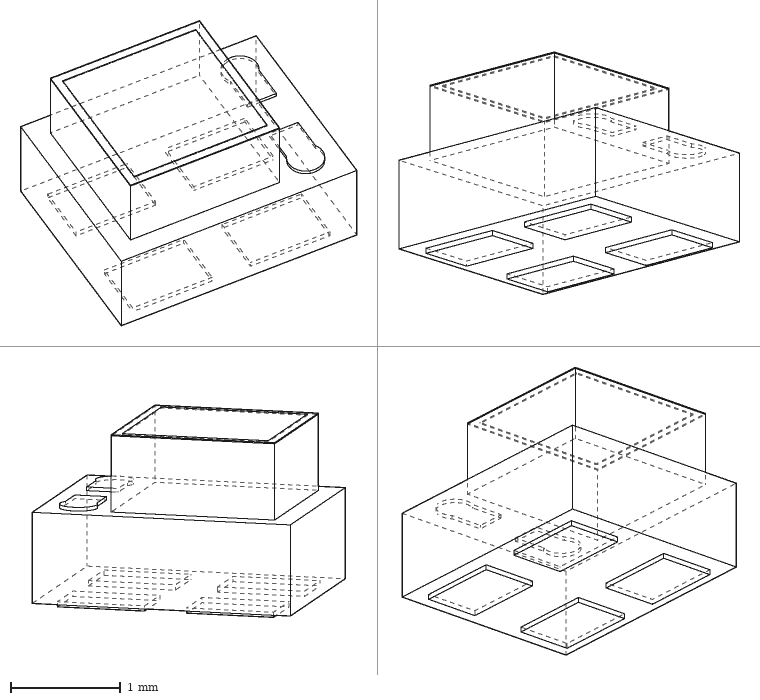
import cadquery as cq

BASE_WIDTH = 1.95
BASE_LENGTH = 2.45
BASE_HEIGHT = 0.85

SOLDER_PAD_WIDTH = 0.55
SOLDER_PAD_LENGTH = 0.825
SOLDER_PAD_THICKNESS = 0.05
SOLDER_PAD_GAP_X = 0.55
SOLDER_PAD_GAP_Y = 0.4

BOND_PAD_DIAMETER = 0.35
BOND_PAD_TAIL_WIDTH = 0.3
BOND_PAD_THICKNESS = 0.035
BOND_PAD_SPACING = 1.272
BOND_PAD_GAP = 0.42
BOND_PAD_CENTER_Y = 0.875

BLOCK_SIDE = 1.55
BLOCK_CENTER_Y = -0.247
BLOCK_TOTAL_HEIGHT = 0.72
CAP_THICKNESS = 0.01
FRAME_MARGIN = 0.083

BLOCK_HEIGHT = BLOCK_TOTAL_HEIGHT - CAP_THICKNESS
WINDOW_SIDE = BLOCK_SIDE - 2 * FRAME_MARGIN
CAP_BOTTOM = BASE_HEIGHT + BLOCK_HEIGHT


def square_plate(side, thickness, bottom):
    """Square plate on the axis of the block, standing on the given level."""
    return (
        cq.Workplane("XY", origin=(0, BLOCK_CENTER_Y, bottom))
        .rect(side, side)
        .extrude(thickness)
    )


def make_base():
    return cq.Workplane("XY").rect(BASE_WIDTH, BASE_LENGTH).extrude(BASE_HEIGHT)


def make_solder_pad(side_x, side_y):
    """Solder pad in the quadrant given by the signs of X and Y."""
    center_x = side_x * (SOLDER_PAD_GAP_X + SOLDER_PAD_WIDTH) / 2
    center_y = side_y * (SOLDER_PAD_GAP_Y + SOLDER_PAD_LENGTH) / 2
    return (
        cq.Workplane("XY")
        .center(center_x, center_y)
        .rect(SOLDER_PAD_WIDTH, SOLDER_PAD_LENGTH)
        .extrude(-SOLDER_PAD_THICKNESS)
    )


def make_bond_pad(side_x):
    """Round pad with a straight tail pointing towards the centre line."""
    round_x = side_x * BOND_PAD_SPACING / 2
    tail_end_x = side_x * BOND_PAD_GAP / 2
    top_plane = cq.Workplane("XY", origin=(0, BOND_PAD_CENTER_Y, BASE_HEIGHT))
    round_end = (
        top_plane.center(round_x, 0)
        .circle(BOND_PAD_DIAMETER / 2)
        .extrude(BOND_PAD_THICKNESS)
    )
    tail = (
        top_plane.center((round_x + tail_end_x) / 2, 0)
        .rect(abs(round_x - tail_end_x), BOND_PAD_TAIL_WIDTH)
        .extrude(BOND_PAD_THICKNESS)
    )
    return round_end.union(tail)


def make_block():
    return square_plate(BLOCK_SIDE, BLOCK_HEIGHT, BASE_HEIGHT)


def make_window():
    return square_plate(WINDOW_SIDE, CAP_THICKNESS, CAP_BOTTOM)


def make_frame():
    """Ring around the window, flush with it and with the block's sides."""
    return square_plate(BLOCK_SIDE, CAP_THICKNESS, CAP_BOTTOM).cut(make_window())


base = make_base()
block = make_block()
frame = make_frame()
window = make_window()
solder_pads = [make_solder_pad(side_x, side_y) for side_x in (-1, 1) for side_y in (-1, 1)]
bond_pads = [make_bond_pad(side_x) for side_x in (-1, 1)]

result = cq.Compound.makeCompound([
    base.val(),
    block.val(),
    frame.val(),
    window.val(),
    *[pad.val() for pad in solder_pads],
    *[pad.val() for pad in bond_pads],
])